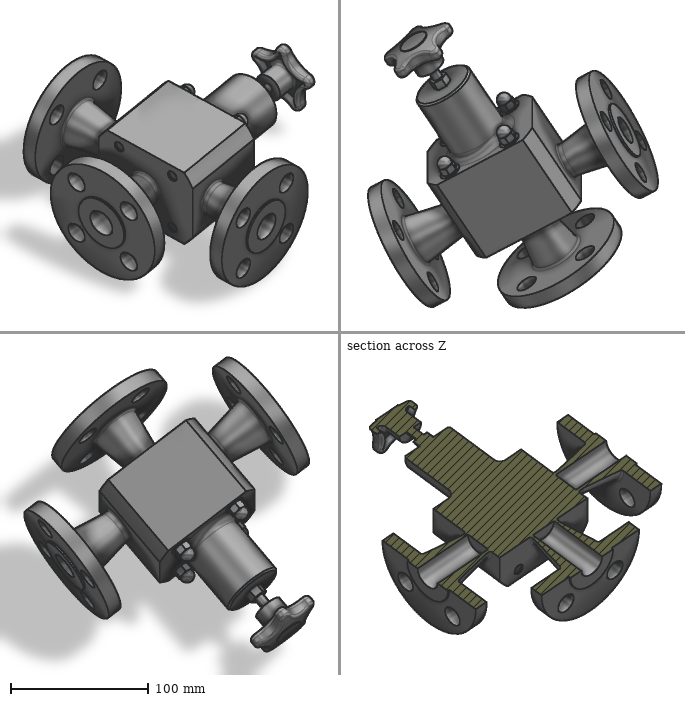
import cadquery as cq
import math

BODY_WIDTH = 88.9
BODY_HEIGHT = 69.85
BODY_CORNER_DIA = 100.84
BODY_FRONT_Y = -22.86
BODY_BACK_Y = 47.24

PORT_SPAN = 190.5
PORT_LENGTH = (PORT_SPAN - BODY_WIDTH) / 2
FLANGE_DIA = 98.55
FLANGE_THICKNESS = 12.7
RAISED_FACE_DIA = 42.93
RAISED_FACE_HEIGHT = 1.52
BORE_DIA = 20.93
HUB_DIA = 38.1
NECK_DIA = 26.67
NECK_STRAIGHT = 4.7
NECK_FILLET = 2.0
WELD_SIZE = 1.2
BOLT_HOLE_DIA = 15.75
BOLT_CIRCLE_DIA = 69.85

BONNET_DIA = 45.72
BONNET_TOP_Y = 100.6
BONNET_CHAMFER = 1.4
BONNET_BASE_FILLET = 6.35
STUD_OFFSET = 25.15
STUD_HOLE_DIA = 8.4
STUD_HOLE_DEPTH = 1.6
WASHER_DIA = 15.88
WASHER_THICKNESS = 0.5
NUT_ACROSS_FLATS = 11.11
NUT_HEIGHT = 6.1
NUT_CHAMFER = 0.75
NUT_COLLAR_HEIGHT = 1.1
NUT_DOME_DIA = 11.0

STEM_DIA = 7.44
STEM_NUT_ACROSS_FLATS = 12.19
STEM_NUT_HEIGHT = 6.7
HUB_START_Y = 117.5
WHEEL_HUB_DIA = 22.1
WHEEL_TOP_Y = 142.22
WHEEL_BOTTOM_Y = 129.9
LOBE_COUNT = 5
LOBE_CENTER_RADIUS = 23.58
LOBE_RADIUS = 5.0
VALLEY_RADIUS = 15.3
DOME_RADIUS = 100.0
WHEEL_TOP_FILLET = 2.4
WHEEL_BOTTOM_FILLET = 3.0
RIM_THICKNESS = 3.8
POCKET_MOUTH_FILLET = 0.75
POCKET_DEPTH = 5.8
POCKET_HUB_FILLET = 3.8


def axis_plane(y):
    """Plane facing +Y at height y; its local x is Z and its local y is X."""
    return cq.Workplane(cq.Plane(origin=(0, y, 0), xDir=(0, 0, 1), normal=(0, 1, 0)))


def cylinder(diameter, start_y, end_y):
    return axis_plane(start_y).circle(diameter / 2).extrude(end_y - start_y)


def hexagon(across_flats, start_y, height):
    """Hexagonal prism along Y with two corners on the local x axis."""
    corner_dia = across_flats / math.cos(math.pi / 6)
    return axis_plane(start_y).polygon(6, corner_dia).extrude(height)


def make_body():
    block = axis_plane(BODY_FRONT_Y).rect(BODY_HEIGHT, BODY_WIDTH).extrude(BODY_BACK_Y - BODY_FRONT_Y)
    body = block.intersect(cylinder(BODY_CORNER_DIA, BODY_FRONT_Y, BODY_BACK_Y))
    stud_holes = (
        axis_plane(BODY_FRONT_Y)
        .rect(2 * STUD_OFFSET, 2 * STUD_OFFSET, forConstruction=True)
        .vertices()
        .circle(STUD_HOLE_DIA / 2)
        .extrude(STUD_HOLE_DEPTH)
    )
    return body.cut(stud_holes)


def make_flange():
    """Weld neck flange standing on the XY plane, with its raised face at Z = PORT_LENGTH."""
    neck_r = NECK_DIA / 2
    hub_r = HUB_DIA / 2
    back_z = PORT_LENGTH - FLANGE_THICKNESS
    rim_z = PORT_LENGTH - RAISED_FACE_HEIGHT
    flange = (
        cq.Workplane("XZ")
        .lineTo(neck_r + WELD_SIZE, 0)
        .radiusArc((neck_r, WELD_SIZE), WELD_SIZE)
        .lineTo(neck_r, NECK_STRAIGHT)
        .lineTo(hub_r, back_z)
        .lineTo(FLANGE_DIA / 2, back_z)
        .lineTo(FLANGE_DIA / 2, rim_z)
        .lineTo(RAISED_FACE_DIA / 2, rim_z)
        .lineTo(RAISED_FACE_DIA / 2, PORT_LENGTH)
        .lineTo(0, PORT_LENGTH)
        .close()
        .revolve(360, (0, 0, 0), (0, 1, 0))
    )
    margin = hub_r + NECK_FILLET
    neck_root = cq.selectors.BoxSelector(
        (-margin, -margin, back_z - NECK_FILLET), (margin, margin, back_z + NECK_FILLET), boundingbox=True
    )
    flange = flange.edges(neck_root).fillet(NECK_FILLET)
    bolt_spacing = BOLT_CIRCLE_DIA / math.sqrt(2)
    bolt_holes = (
        cq.Workplane("XY", origin=(0, 0, back_z))
        .rect(bolt_spacing, bolt_spacing, forConstruction=True)
        .vertices()
        .circle(BOLT_HOLE_DIA / 2)
        .extrude(FLANGE_THICKNESS)
    )
    bore = cq.Workplane("XY").circle(BORE_DIA / 2).extrude(PORT_LENGTH)
    return flange.cut(bolt_holes).cut(bore)


def make_ports():
    flange = make_flange()
    right = flange.rotate((0, 0, 0), (0, 1, 0), 90).translate((BODY_WIDTH / 2, 0, 0))
    left = flange.rotate((0, 0, 0), (0, 1, 0), -90).translate((-BODY_WIDTH / 2, 0, 0))
    front = flange.rotate((0, 0, 0), (1, 0, 0), 90).translate((0, BODY_FRONT_Y, 0))
    return [right, left, front]


def make_bonnet():
    radius = BONNET_DIA / 2
    fillet = BONNET_BASE_FILLET
    return (
        cq.Workplane("XY")
        .moveTo(0, BODY_BACK_Y)
        .lineTo(radius + fillet, BODY_BACK_Y)
        .radiusArc((radius, BODY_BACK_Y + fillet), fillet)
        .lineTo(radius, BONNET_TOP_Y - BONNET_CHAMFER)
        .lineTo(radius - BONNET_CHAMFER, BONNET_TOP_Y)
        .lineTo(0, BONNET_TOP_Y)
        .close()
        .revolve(360, (0, 0, 0), (0, 1, 0))
    )


def make_cap_nut():
    """Washer, hexagon and dome of one stud, on the stem axis."""
    nut_y = BODY_BACK_Y + WASHER_THICKNESS
    collar_y = nut_y + NUT_HEIGHT
    dome_y = collar_y + NUT_COLLAR_HEIGHT
    corner_dia = NUT_ACROSS_FLATS / math.cos(math.pi / 6)
    washer = cylinder(WASHER_DIA, BODY_BACK_Y, nut_y)
    chamfered_round = cylinder(corner_dia, nut_y, collar_y).faces("<Y or >Y").chamfer(NUT_CHAMFER)
    nut = hexagon(NUT_ACROSS_FLATS, nut_y, NUT_HEIGHT).intersect(chamfered_round)
    collar = cylinder(NUT_DOME_DIA, collar_y, dome_y)
    dome = cq.Workplane("XY").sphere(NUT_DOME_DIA / 2).translate((0, dome_y, 0))
    return washer.union(nut).union(collar).union(dome)


def make_cap_nuts():
    cap_nut = make_cap_nut()
    return [
        cap_nut.translate((x, 0, z))
        for x in (-STUD_OFFSET, STUD_OFFSET)
        for z in (-STUD_OFFSET, STUD_OFFSET)
    ]


def make_stem():
    stem = cylinder(STEM_DIA, BONNET_TOP_Y, HUB_START_Y)
    nut = hexagon(STEM_NUT_ACROSS_FLATS, BONNET_TOP_Y, STEM_NUT_HEIGHT).rotate((0, 0, 0), (0, 1, 0), 90)
    return stem.union(nut)


def polar(radius, angle):
    return (radius * math.cos(angle), radius * math.sin(angle))


def star(y, inset):
    """Star outline at height y, offset inwards by inset: lobe arcs joined by tangent concave arcs."""
    lobe_r = LOBE_RADIUS - inset
    valley_r = VALLEY_RADIUS + inset
    half_step = math.pi / LOBE_COUNT
    center_gap = LOBE_RADIUS + VALLEY_RADIUS
    half_chord = LOBE_CENTER_RADIUS * math.sin(half_step)
    valley_center = LOBE_CENTER_RADIUS * math.cos(half_step) + math.sqrt(center_gap**2 - half_chord**2)
    share = lobe_r / center_gap
    valley_x, valley_y = polar(valley_center, half_step)
    joint_x = LOBE_CENTER_RADIUS + share * (valley_x - LOBE_CENTER_RADIUS)
    joint_y = share * valley_y
    joint_radius = math.hypot(joint_x, joint_y)
    joint_angle = math.atan2(joint_y, joint_x)

    outline = axis_plane(y).moveTo(*polar(joint_radius, -joint_angle))
    for lobe in range(LOBE_COUNT):
        angle = 2 * half_step * lobe
        outline = outline.threePointArc(
            polar(LOBE_CENTER_RADIUS + lobe_r, angle), polar(joint_radius, angle + joint_angle)
        ).threePointArc(
            polar(valley_center - valley_r, angle + half_step),
            polar(joint_radius, angle + 2 * half_step - joint_angle),
        )
    return outline.close()


def make_handwheel():
    wheel_height = WHEEL_TOP_Y - WHEEL_BOTTOM_Y
    dome = cq.Workplane("XY").sphere(DOME_RADIUS).translate((0, WHEEL_TOP_Y - DOME_RADIUS, 0))
    rim = star(WHEEL_BOTTOM_Y, 0).extrude(wheel_height).intersect(dome)
    rim = rim.faces("<Y").edges().fillet(WHEEL_BOTTOM_FILLET)
    rim = rim.faces(">Y").edges().fillet(WHEEL_TOP_FILLET)
    rim = rim.cut(star(WHEEL_BOTTOM_Y, RIM_THICKNESS).extrude(POCKET_DEPTH))
    mouth = rim.faces("<Y").val().innerWires()[0]
    rim = rim.newObject(mouth.Edges()).fillet(POCKET_MOUTH_FILLET)
    ceiling_y = WHEEL_BOTTOM_Y + POCKET_DEPTH
    hub_r = WHEEL_HUB_DIA / 2
    hub = (
        cq.Workplane("XY")
        .moveTo(0, HUB_START_Y)
        .lineTo(hub_r, HUB_START_Y)
        .lineTo(hub_r, ceiling_y - POCKET_HUB_FILLET)
        .radiusArc((hub_r + POCKET_HUB_FILLET, ceiling_y), POCKET_HUB_FILLET)
        .lineTo(hub_r, ceiling_y)
        .lineTo(hub_r, WHEEL_TOP_Y)
        .lineTo(0, WHEEL_TOP_Y)
        .close()
        .revolve(360, (0, 0, 0), (0, 1, 0))
    )
    return rim.union(hub)


result = make_body()
for piece in make_ports() + [make_bonnet()] + make_cap_nuts() + [make_stem(), make_handwheel()]:
    result = result.union(piece)